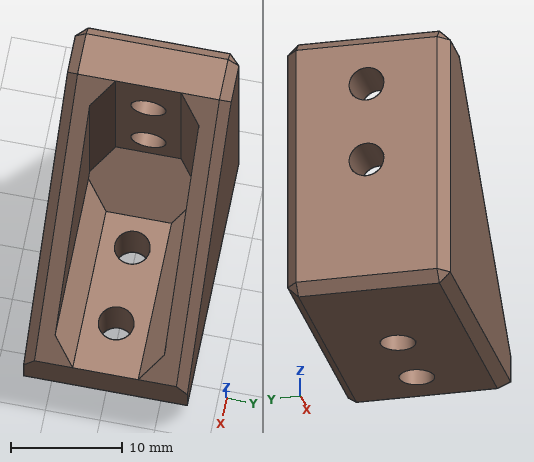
import cadquery as cq

leg = 25.0
width = 15.0
wall = 5.0
edge_chamfer = 1.0
pocket_width = 10.0
pocket_chamfer = 2.0
corner_bevel = 4.5
hole_diameter = 3.2
hole_positions = (12.5, 20.0)


def extrude_profile(points, depth):
    """Extrude an XZ outline symmetrically about the plane Y = 0."""
    return cq.Workplane("XZ").polyline(points).close().extrude(depth / 2, both=True)


def make_body():
    """Gusset block with every outer edge chamfered except those of the short end
    face and the two ends of the slope."""
    outline = [(0, 0), (leg, 0), (leg, wall), (wall, leg), (0, leg)]
    block = extrude_profile(outline, width)
    side_edges = block.faces("<Y or >Y").edges("not(>X)")
    outer_corners = block.edges("|Y").edges("<X or <Z")
    return side_edges.add(outer_corners).chamfer(edge_chamfer)


def make_pocket():
    """Pocket volume, open toward the slope, with a bevelled inner corner."""
    pocket = (
        cq.Workplane("XY")
        .box(leg, pocket_width, leg, centered=(False, True, False))
        .translate((wall, 0, wall))
    )
    pocket = pocket.faces("<X or <Z").edges("not(|Y)").edges("<X or <Z").chamfer(pocket_chamfer)
    bevel_end = wall + corner_bevel
    corner = extrude_profile([(wall, wall), (bevel_end, wall), (wall, bevel_end)], pocket_width)
    return pocket.cut(corner)


def make_holes():
    """Two through holes in each leg, centred across the width."""
    floor_holes = (
        cq.Workplane("XY")
        .pushPoints([(position, 0) for position in hole_positions])
        .circle(hole_diameter / 2)
        .extrude(wall)
    )
    wall_holes = (
        cq.Workplane("YZ")
        .pushPoints([(0, position) for position in hole_positions])
        .circle(hole_diameter / 2)
        .extrude(wall)
    )
    return floor_holes.union(wall_holes)


result = make_body().cut(make_pocket()).cut(make_holes())